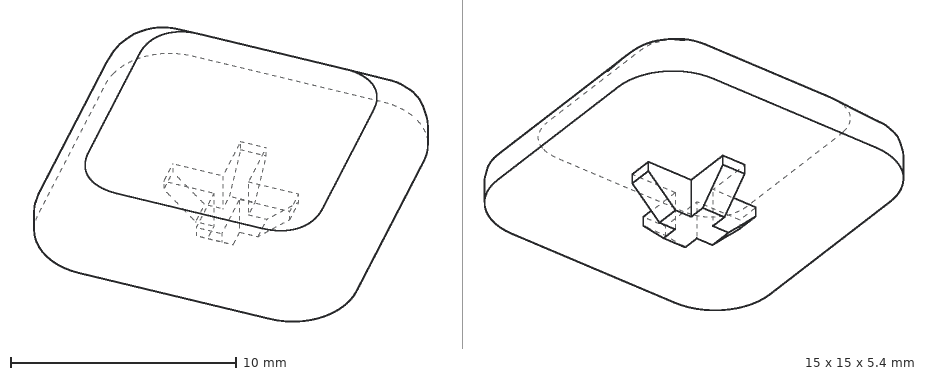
import cadquery as cq

cap_width = 15.0
total_height = 5.4
stem_height = 2.0
cap_height = total_height - stem_height
rim_bevel = 2.0
corner_radius = 3.0
shoulder_radius = 1.0

rib_length = 5.92
rib_thickness = 1.2
rib_bevel = 1.5


def make_cap():
    """Rounded block under a 45 degree bevel, with a soft shoulder; its underside is at Z = 0."""
    shoulder_height = cap_height - rim_bevel
    top_width = cap_width - 2 * rim_bevel
    foot_width = top_width + 2 * cap_height

    pyramid = (
        cq.Workplane("XY")
        .rect(foot_width, foot_width)
        .workplane(offset=cap_height)
        .rect(top_width, top_width)
        .loft(ruled=True)
        .edges("not #Z")
        .fillet(corner_radius)
    )
    block = (
        cq.Workplane("XY")
        .box(cap_width, cap_width, cap_height, centered=(True, True, False))
        .edges("|Z")
        .fillet(corner_radius)
    )

    band_half_height = shoulder_height / 3
    shoulder_ring = cq.selectors.BoxSelector(
        (-cap_width, -cap_width, shoulder_height - band_half_height),
        (cap_width, cap_width, shoulder_height + band_half_height),
    )
    return block.intersect(pyramid).edges(shoulder_ring).fillet(shoulder_radius)


def make_rib(plane):
    """One rib, centred below the cap, with its lower ends cut at 45 degrees."""
    half_length = rib_length / 2
    half_tip = half_length - rib_bevel
    straight_depth = stem_height - rib_bevel
    return (
        cq.Workplane(plane)
        .polyline([
            (-half_length, 0),
            (-half_length, -straight_depth),
            (-half_tip, -stem_height),
            (half_tip, -stem_height),
            (half_length, -straight_depth),
            (half_length, 0),
        ])
        .close()
        .extrude(rib_thickness / 2, both=True)
    )


result = make_cap()
for rib_plane in ("XZ", "YZ"):
    result = result.union(make_rib(rib_plane))